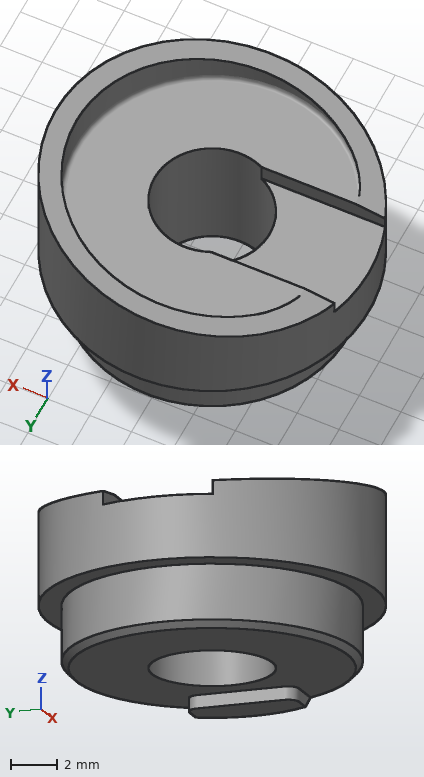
import cadquery as cq
import math

collar_diameter = 15.0
spigot_diameter = 13.0
spigot_height = 2.8
spigot_chamfer = 0.3
bore_diameter = 5.5

collar_max_height = 5.77
rim_slope = 9.0

pocket_diameter = 13.0
pocket_floor_height = 3.69
pocket_fillet = 0.2

slot_width = 5.0
slot_floor_height = 2.85

key_width = 5.0
key_drop = 0.6
key_inner_x = 3.68
key_corner_radius = 0.5

collar_radius = collar_diameter / 2
spigot_radius = spigot_diameter / 2
top_z = spigot_height + collar_max_height
pocket_floor_z = spigot_height + pocket_floor_height
slot_floor_z = spigot_height + slot_floor_height
rim_fall = collar_diameter * math.tan(math.radians(rim_slope))


def cylinder(diameter, bottom_z, height):
    return cq.Workplane("XY").workplane(offset=bottom_z).circle(diameter / 2).extrude(height)


def make_spigot():
    """Lower cylinder with a conical foot, trimmed at the underside to leave only the drive key."""
    foot_height = spigot_chamfer + key_drop
    spigot = cylinder(spigot_diameter, -key_drop, spigot_height + key_drop)
    spigot = spigot.faces("<Z").edges().chamfer(foot_height)
    foot_waste = cylinder(spigot_diameter, -key_drop, key_drop).cut(make_key_block())
    return spigot.cut(foot_waste)


def make_key_block():
    """Rectangular block of the drive key, rounded at its inner corners, open-ended toward +X."""
    return (
        cq.Workplane("XY")
        .box(spigot_radius - key_inner_x, key_width, key_drop, centered=(False, True, False))
        .translate((key_inner_x, 0, -key_drop))
        .edges("|Z and <X")
        .fillet(key_corner_radius)
    )


def make_collar():
    """Upper cylinder cut off by the sloping rim plane."""
    collar = cylinder(collar_diameter, spigot_height, collar_max_height)
    above_rim = (
        cq.Workplane("XZ")
        .moveTo(collar_radius, top_z)
        .lineTo(-collar_radius, top_z)
        .lineTo(-collar_radius, top_z - rim_fall)
        .close()
        .extrude(collar_radius, both=True)
    )
    return collar.cut(above_rim)


def make_pocket():
    """Round recess in the collar, with a filleted floor edge."""
    pocket = cylinder(pocket_diameter, pocket_floor_z, top_z - pocket_floor_z)
    return pocket.faces("<Z").edges().fillet(pocket_fillet)


def make_slot():
    """Straight channel from the axis out through the -X side of the collar."""
    return cq.Workplane("XY").box(
        collar_radius, slot_width, top_z - slot_floor_z, centered=(False, True, False)
    ).translate((-collar_radius, 0, slot_floor_z))


body = make_spigot().union(make_collar())
body = body.cut(make_pocket()).cut(make_slot())
result = body.cut(cylinder(bore_diameter, 0, top_z))